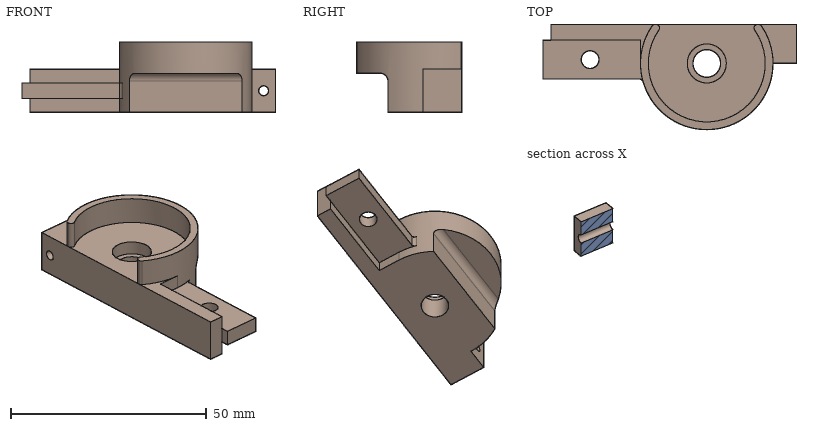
import cadquery as cq
import math

cup_diameter = 34.0
cup_radius = cup_diameter / 2
wall_thickness = 2.0
cup_height = 18.1
floor_height = 11.05
wall_tip_fillet = 0.9
back_y = 10.0

relief_y = -9.0
relief_height = 10.0
relief_fillet = 2.0

overall_length = 65.0
block_right_x = 23.0
plate_left_x = -40.0
plate_thickness = 4.0

tongue_left_x = block_right_x - overall_length
tongue_width = 10.0
tongue_bottom = 3.5
tongue_thickness = 4.0
tongue_fillet_y = -4.95

bore_diameter = 7.0
counterbore_diameter = 10.0
counterbore_depth = 3.5
tongue_hole_diameter = 4.5
tongue_hole_x = -29.9
side_hole_diameter = 2.5
side_hole_x = 19.95

tongue_back_y = back_y - plate_thickness
tongue_front_y = tongue_back_y - tongue_width


def box(x_range, y_range, z_range):
    """Box given by its lower and upper limit along each axis."""
    sizes = [high - low for low, high in (x_range, y_range, z_range)]
    corner = (x_range[0], y_range[0], z_range[0])
    return cq.Workplane("XY").box(*sizes, centered=False).translate(corner)


def upright_cylinder(radius, bottom, top):
    return cq.Workplane("XY").workplane(offset=bottom).circle(radius).extrude(top - bottom)


def make_wall():
    """Curved wall, open at the back, with rounded tips."""
    inner_radius = cup_radius - wall_thickness
    ring = upright_cylinder(cup_radius, floor_height, cup_height)
    ring = ring.cut(upright_cylinder(inner_radius, floor_height, cup_height))
    span = (-cup_radius, cup_radius)
    wall = ring.intersect(box(span, (-cup_radius, back_y), (floor_height, cup_height)))
    return wall.edges("|Z").fillet(wall_tip_fillet)


def make_base():
    """Round base cut flat at the back and relieved at the front."""
    span = (-cup_radius, cup_radius)
    base = upright_cylinder(cup_radius, 0, floor_height)
    base = base.intersect(box(span, (-cup_radius, back_y), (0, floor_height)))
    relief = box(span, (-cup_radius, relief_y), (0, relief_height))
    relief = relief.edges(">Y and >Z").fillet(relief_fillet)
    return base.cut(relief)


def make_tongue():
    tongue_top = tongue_bottom + tongue_thickness
    return box((tongue_left_x, 0), (tongue_front_y, tongue_back_y), (tongue_bottom, tongue_top))


def make_tongue_fillet():
    """Concave web from the tongue's front edge, tangent to the round base."""
    start = cq.Vector(-cup_radius, tongue_front_y, 0)
    contact_x = -math.sqrt(cup_radius**2 - tongue_fillet_y**2)
    contact = cq.Vector(contact_x, tongue_fillet_y, 0)
    chord = start - contact
    outward = contact.normalized()
    arc_radius = chord.dot(chord) / (2 * chord.dot(outward))
    center = contact + outward * arc_radius
    toward_middle = ((start + contact) * 0.5 - center).normalized()
    middle = center + toward_middle * arc_radius
    return (
        cq.Workplane("XY")
        .workplane(offset=tongue_bottom)
        .moveTo(contact.x, contact.y)
        .threePointArc((middle.x, middle.y), (start.x, start.y))
        .lineTo(0, tongue_front_y)
        .lineTo(0, tongue_fillet_y)
        .close()
        .extrude(tongue_thickness)
    )


block = box((-cup_radius, block_right_x), (0, back_y), (0, floor_height))
plate = box((plate_left_x, 0), (tongue_back_y, back_y), (0, floor_height))
body = make_base().union(block).union(plate).union(make_wall())
body = body.union(make_tongue()).union(make_tongue_fillet())

body = body.cut(upright_cylinder(bore_diameter / 2, 0, floor_height))
body = body.cut(upright_cylinder(counterbore_diameter / 2, floor_height - counterbore_depth, floor_height))

tongue_hole_y = (tongue_front_y + tongue_back_y) / 2
tongue_hole = upright_cylinder(tongue_hole_diameter / 2, 0, floor_height)
body = body.cut(tongue_hole.translate((tongue_hole_x, tongue_hole_y, 0)))

side_hole = (
    cq.Workplane("XZ")
    .center(side_hole_x, floor_height / 2)
    .circle(side_hole_diameter / 2)
    .extrude(-back_y)
)
result = body.cut(side_hole)